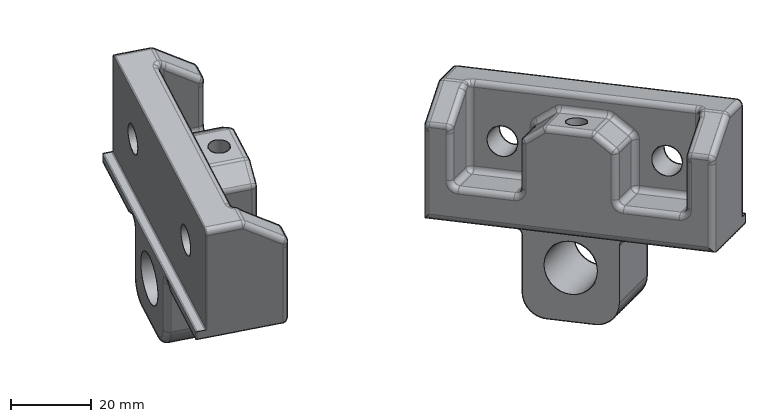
import cadquery as cq
import math


width = 76.2
depth = 24.15
block_height = 33.3
ledge_depth = 2.6
ledge_height = 2.45
edge_radius = 1.6
fine_radius = 0.3
slope_angle = 35
slope = math.tan(math.radians(slope_angle))
bevel_depth = 11.5
bevel_bottom = block_height - slope * bevel_depth

wall_thickness = 9.4
lug_thickness = 7.55
pocket_front = ledge_depth + wall_thickness
pocket_floor = wall_thickness
pocket_width = width - 2 * lug_thickness

tab_width = 25.45
tab_drop = 22.9
tab_corner_radius = 6.4
tab_back = depth - edge_radius
root_x = tab_width / 2 + edge_radius
root_z = -edge_radius

boss_height = 28.2
boss_top_width = 13.1
boss_shoulder = boss_height - slope * (tab_width - boss_top_width) / 2

mount_diameter = 8.0
mount_spacing = 43.1
mount_height = 18.4
bore_diameter = 13.95
bore_height = -8.8
screw_diameter = 5.5
screw_y = depth - 6.0

TOLERANCE = 0.01


def box(x_min, x_max, y_min, y_max, z_min, z_max):
    size = (x_max - x_min, y_max - y_min, z_max - z_min)
    return cq.Workplane("XY").box(*size, centered=False).translate((x_min, y_min, z_min))


def edges_in(body, x=(-width, width), y=(0, depth), z=(0, block_height)):
    """Edges of the body that lie completely inside the given ranges."""

    def inside(edge):
        bounds = edge.BoundingBox()
        spans = (
            (bounds.xmin, bounds.xmax, x),
            (bounds.ymin, bounds.ymax, y),
            (bounds.zmin, bounds.zmax, z),
        )
        return all(
            low > limits[0] - TOLERANCE and high < limits[1] + TOLERANCE for low, high, limits in spans
        )

    return body.newObject([edge for edge in body.edges().vals() if inside(edge)])


def make_block():
    """Stepped block with a sloping upper rear edge and an open pocket at the rear."""
    block = (
        cq.Workplane("YZ")
        .moveTo(0, 0)
        .lineTo(depth, 0)
        .lineTo(depth, bevel_bottom)
        .lineTo(depth - bevel_depth, block_height)
        .lineTo(ledge_depth, block_height)
        .lineTo(ledge_depth, ledge_height)
        .lineTo(0, ledge_height)
        .close()
        .extrude(width / 2, both=True)
    )
    half_pocket = pocket_width / 2
    pocket = box(-half_pocket, half_pocket, pocket_front, depth, pocket_floor, block_height)
    block = block.cut(pocket)

    crest_y = depth - bevel_depth
    block = edges_in(block, y=(crest_y, crest_y), z=(block_height, block_height)).fillet(edge_radius)
    pocket_corners = edges_in(
        block, (-half_pocket, half_pocket), (pocket_front, pocket_front), (pocket_floor, block_height)
    )
    block = pocket_corners.edges("|Z").fillet(edge_radius)

    for side in (-width / 2, width / 2):
        end_edges = edges_in(block, (side, side), (ledge_depth, depth), (bevel_bottom, block_height))
        block = end_edges.fillet(edge_radius)
    rim = edges_in(
        block, (-half_pocket, half_pocket), (crest_y - 2 * edge_radius, depth), (bevel_bottom, block_height)
    )
    return rim.edges("not(>Y or |Z)").fillet(edge_radius)


def make_boss():
    """Boss with sloping shoulders, from the pocket wall to the rear face."""
    half_boss = tab_width / 2
    boss = (
        cq.Workplane("XZ", origin=(0, depth, 0))
        .moveTo(-half_boss, pocket_floor)
        .lineTo(-half_boss, boss_shoulder)
        .lineTo(-boss_top_width / 2, boss_height)
        .lineTo(boss_top_width / 2, boss_height)
        .lineTo(half_boss, boss_shoulder)
        .lineTo(half_boss, pocket_floor)
        .close()
        .extrude(depth - pocket_front)
    )
    return edges_in(boss, z=(boss_shoulder, boss_height)).edges("|Y").fillet(edge_radius)


def round_pocket_and_rear(body):
    """Round the foot of the pocket walls and of the boss, then the whole rear outline."""
    half_pocket = pocket_width / 2
    half_boss = tab_width / 2
    floor_edges = edges_in(
        body, (-half_pocket, half_pocket), (pocket_front, depth), (pocket_floor, pocket_floor)
    )
    boss_joint = edges_in(
        body, (-half_boss, half_boss), (pocket_front, pocket_front), (pocket_floor, boss_height)
    )
    body = floor_edges.edges("not(>Y)").add(boss_joint).fillet(edge_radius)
    return edges_in(body, y=(depth, depth)).fillet(edge_radius)


def soften_front(body):
    """Fine rounding of the front face, the ledge and the corner between them."""
    front_rim = edges_in(body, y=(ledge_depth, ledge_depth), z=(ledge_height, block_height))
    body = front_rim.fillet(fine_radius)
    ledge_edges = edges_in(body, y=(0, 0), z=(0, ledge_height)).edges("|Z or >Z")
    return ledge_edges.fillet(fine_radius)


def make_tab():
    """Tab with rounded lower corners and a rounded front outline."""
    half_tab = tab_width / 2
    tab = box(-half_tab, half_tab, 0, tab_back, -tab_drop, root_z)
    tab = tab.edges("|Y and <Z").fillet(tab_corner_radius)
    return tab.faces("<Y").edges("not(>Z)").fillet(edge_radius)


def make_root():
    """Flared root that joins the tab to the underside of the block."""
    root = box(-root_x, root_x, 0, tab_back, root_z, 0)
    for side in (-root_x, root_x):
        hollow = cq.Workplane("XZ", origin=(side, 0, root_z)).circle(edge_radius).extrude(-tab_back)
        root = root.cut(hollow)
    return root


def root_rounding(side):
    """Cutter that carries the tab's front rounding around the flare on one side."""
    return (
        cq.Workplane("XY", origin=(side, 0, root_z))
        .moveTo(edge_radius, 0)
        .lineTo(2 * edge_radius, 0)
        .radiusArc((edge_radius, edge_radius), edge_radius)
        .close()
        .revolve(180, (0, 0), (0, -1))
    )


def hole_along_y(x, z, diameter):
    return cq.Workplane("XZ", origin=(x, 0, z)).circle(diameter / 2).extrude(-depth)


body = soften_front(round_pocket_and_rear(make_block().union(make_boss())))
body = body.union(make_root()).union(make_tab())
for side in (-root_x, root_x):
    body = body.cut(root_rounding(side))

for x in (-mount_spacing / 2, mount_spacing / 2):
    body = body.cut(hole_along_y(x, mount_height, mount_diameter))
body = body.cut(hole_along_y(0, bore_height, bore_diameter))
screw_hole = (
    cq.Workplane("XY", origin=(0, screw_y, bore_height))
    .circle(screw_diameter / 2)
    .extrude(boss_height - bore_height)
)

result = body.cut(screw_hole)